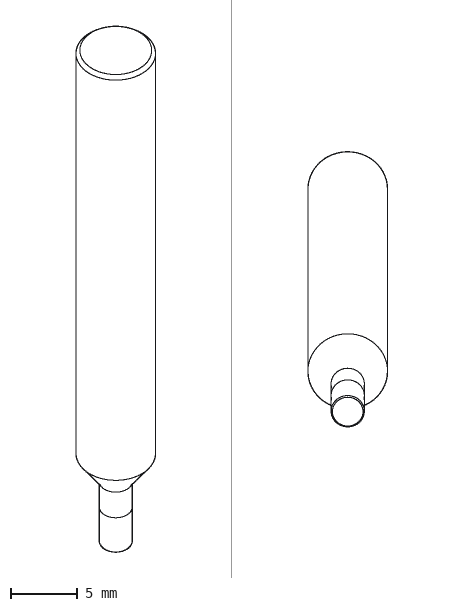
import cadquery as cq

total_length = 50.0
shank_diameter = 6.0
tip_diameter = 2.5
tip_length = 3.6
neck_end_height = 6.2
cone_end_height = 9.0
tip_chamfer = 0.1
shank_chamfer = 0.3

tip_radius = tip_diameter / 2
shank_radius = shank_diameter / 2


def revolve_profile(points):
    """Turn a closed (radius, height) outline into a solid about the Z axis."""
    return cq.Workplane("XZ").polyline(points).close().revolve(360, (0, 0), (0, 1))


def make_tip():
    """Cylindrical cutting tip with a chamfered lower end."""
    return revolve_profile([
        (0, 0),
        (tip_radius - tip_chamfer, 0),
        (tip_radius, tip_chamfer),
        (tip_radius, tip_length),
        (0, tip_length),
    ])


def make_shank():
    """Neck, cone and cylindrical shank with a chamfered upper end."""
    return revolve_profile([
        (0, tip_length),
        (tip_radius, tip_length),
        (tip_radius, neck_end_height),
        (shank_radius, cone_end_height),
        (shank_radius, total_length - shank_chamfer),
        (shank_radius - shank_chamfer, total_length),
        (0, total_length),
    ])


tip = make_tip()
shank = make_shank()
result = cq.Compound.makeCompound([tip.val(), shank.val()])